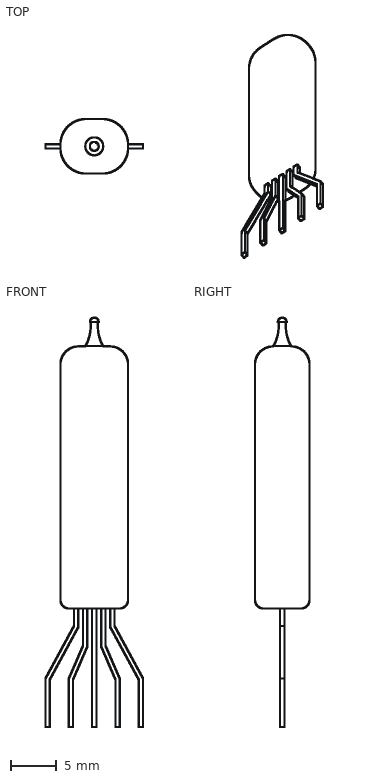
import cadquery as cq
import math

total_height = 44.6
body_bottom = 12.9
body_top = 41.5

body_width = 7.4
body_depth = 6.0
corner_radius = 2.8
top_fillet = 2.0
bottom_fillet = 1.0

flare_base_radius = 1.0
neck_radius = 0.38
flare_lean = 0.6
waist_radius = 0.55
waist_height = 1.1
bead_radius = 0.5
bead_flat_radius = 0.005 / 2

lead_count = 5
lead_size = 0.5
upper_pitch = 1.0
lower_pitch = 2.55
lower_bend = 5.2
inner_upper_bend = 8.85
outer_upper_bend = 10.98
joint_overlap = 0.45


def make_body():
    block = cq.Workplane("XY", origin=(0, 0, body_bottom)).box(
        body_width, body_depth, body_top - body_bottom, centered=(True, True, False)
    )
    body = block.edges("|Z").fillet(corner_radius)
    return body.faces(">Z").edges().fillet(top_fillet).faces("<Z").edges().fillet(bottom_fillet)


def make_tip():
    dome_radius = bead_radius - bead_flat_radius
    dome_base = total_height - dome_radius
    dome_middle = (
        bead_flat_radius + dome_radius * math.cos(math.pi / 4),
        dome_base + dome_radius * math.sin(math.pi / 4),
    )
    profile = (
        cq.Workplane("XZ")
        .moveTo(0, body_top - joint_overlap)
        .lineTo(flare_base_radius, body_top - joint_overlap)
        .lineTo(flare_base_radius, body_top)
        .spline(
            [(waist_radius, body_top + waist_height), (neck_radius, dome_base)],
            tangents=[(-flare_lean, 1), (0, 1)],
            includeCurrent=True,
        )
        .lineTo(bead_radius, dome_base)
        .threePointArc(dome_middle, (bead_flat_radius, total_height))
        .lineTo(0, total_height)
        .close()
    )
    return profile.revolve(360, (0, 0, 0), (0, 1, 0))


def make_lead(position):
    """Lead at a signed position counted from the central lead."""
    upper_x = position * upper_pitch
    lower_x = position * lower_pitch
    upper_bend = outer_upper_bend if abs(position) == lead_count // 2 else inner_upper_bend
    slant = math.atan2(lower_x - upper_x, upper_bend - lower_bend)
    mitre = lead_size / 2 * math.tan(slant / 2)
    half = lead_size / 2
    top = body_bottom + joint_overlap
    outline = [
        (lower_x - half, 0),
        (lower_x + half, 0),
        (lower_x + half, lower_bend + mitre),
        (upper_x + half, upper_bend + mitre),
        (upper_x + half, top),
        (upper_x - half, top),
        (upper_x - half, upper_bend - mitre),
        (lower_x - half, lower_bend - mitre),
    ]
    if position == 0:
        outline = [(-half, 0), (half, 0), (half, top), (-half, top)]
    return cq.Workplane("XZ").polyline(outline).close().extrude(half, both=True)


result = make_body().union(make_tip())
for index in range(lead_count):
    result = result.union(make_lead(index - lead_count // 2))